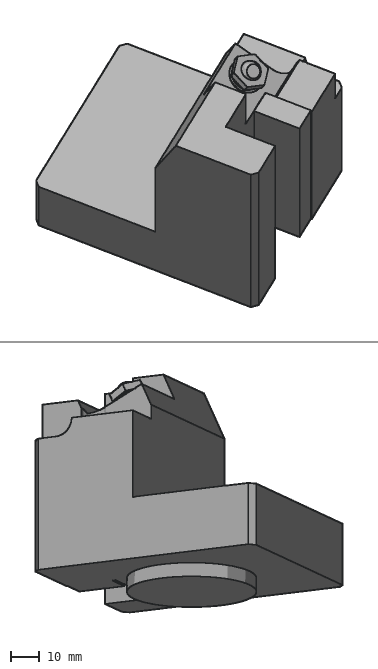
import cadquery as cq
import math

length = 86.0
width = 70.0
height = 75.1
base_height = 21.9
corner_chamfer = 2.1
wall_x = 47.0
slope_start_z = 58.0
slope_angle = 25.0
slope_run = (height - slope_start_z) * math.tan(math.radians(slope_angle))

disc_diameter = 45.0
disc_height = 4.9
disc_x = 42.0

seat_front_y = 31.05
seat_edge_z = 65.8
seat_edge_x = wall_x + (seat_edge_z - slope_start_z) * math.tan(math.radians(slope_angle))
seat_length = 21.6
block_top_z = 60.9

slot_x = 66.9
slot_front_y = 15.05
slot_back_y = 44.0
jaw_top_z = 61.5
jaw_start_x = 68.1
jaw_end_x = 85.65
jaw_front_y = 35.1

ledge_z = 52.9
ledge_front_y = 56.0
ledge_end_x = 70.9
ledge_corner_radius = 5.85
rear_step_y = 62.6
rear_fillet = 6.0

nut_y = 47.1
nut_along_seat = 9.1
washer_diameter = 12.4
washer_height = 0.3
collar_diameter = 10.6
collar_height = 1.9
nut_corners = 13.6
nut_height = 2.8
nut_turn = 46.0
ball_radius = 3.8
ball_sink = 0.9
ball_flat_distance = 2.8
ball_flat_normal = cq.Vector(0.6, -0.3, 0.75)


def box(x0, x1, y0, y1, z0, z1):
    return cq.Workplane("XY").box(x1 - x0, y1 - y0, z1 - z0, centered=False).translate((x0, y0, z0))


def make_body():
    profile = [
        (0, 0), (length, 0), (length, height), (wall_x + slope_run, height),
        (wall_x, slope_start_z), (wall_x, base_height), (0, base_height),
    ]
    body = cq.Workplane("XZ").polyline(profile).close().extrude(-width)
    chamfered = box(0, length, 0, width, 0, height).edges("|Z").chamfer(corner_chamfer)
    disc = cq.Workplane("XY").center(disc_x, width / 2).circle(disc_diameter / 2).extrude(-disc_height)
    return body.intersect(chamfered).union(disc)


def make_seat_cut():
    """Space above the tilted seat, its riser and the flat block beside it."""
    angle = math.radians(slope_angle)
    foot_x = seat_edge_x + seat_length * math.cos(angle)
    foot_z = seat_edge_z - seat_length * math.sin(angle)
    riser_top_x = foot_x + (block_top_z - foot_z) * math.tan(angle)
    profile = [
        (seat_edge_x, seat_edge_z), (foot_x, foot_z), (riser_top_x, block_top_z),
        (length, block_top_z), (length, height), (seat_edge_x, height),
    ]
    return (cq.Workplane("XZ", origin=(0, seat_front_y, 0))
            .polyline(profile).close().extrude(seat_front_y - width))


def make_ledge_cut():
    cut = box(wall_x, ledge_end_x, ledge_front_y, width + ledge_corner_radius, ledge_z, height)
    return cut.edges("|Z and >X and <Y").fillet(ledge_corner_radius)


def make_rear_cut():
    """Corner step whose inner edge is rounded along Y."""
    cut = box(ledge_end_x, length + rear_fillet, rear_step_y, width, ledge_z - rear_fillet, height)
    return cut.edges("|Y and <X and <Z").fillet(rear_fillet)


def make_clamp_nut():
    """Washer, collar and hexagon built upright on Z = 0, with the height of the top face."""
    collar_top = washer_height + collar_height
    nut_top = collar_top + nut_height
    washer = cq.Workplane("XY").circle(washer_diameter / 2).extrude(washer_height)
    collar = cq.Workplane("XY").circle(collar_diameter / 2).extrude(collar_top)
    hexagon = (cq.Workplane("XY").polygon(6, nut_corners).extrude(nut_height)
               .rotate((0, 0, 0), (0, 0, 1), nut_turn)
               .translate((0, 0, collar_top)))
    return washer.union(collar).union(hexagon), nut_top


def make_ball_end():
    """Ball about the origin with one flat facing the given direction."""
    flat = cq.Plane(origin=ball_flat_normal.normalized() * ball_flat_distance, normal=ball_flat_normal)
    beyond_flat = cq.Workplane(flat).circle(ball_radius).extrude(ball_radius)
    return cq.Workplane("XY").sphere(ball_radius).cut(beyond_flat)


def make_nut_on_seat():
    nut, nut_top = make_clamp_nut()
    angle = math.radians(slope_angle)
    ball_height = nut_top - ball_sink
    along = nut_along_seat * math.cos(angle) + ball_height * math.sin(angle)
    rise = ball_height * math.cos(angle) - nut_along_seat * math.sin(angle)
    seat_edge = (seat_edge_x, nut_y, seat_edge_z)
    tilted_nut = (nut.translate((nut_along_seat, 0, 0))
                  .rotate((0, 0, 0), (0, 1, 0), slope_angle).translate(seat_edge))
    ball = make_ball_end().translate((seat_edge_x + along, nut_y, seat_edge_z + rise))
    return tilted_nut.union(ball)


side_slot = box(slot_x, length, slot_front_y, slot_back_y, 0, height)
jaw = box(jaw_start_x, jaw_end_x, jaw_front_y, slot_back_y, 0, jaw_top_z)

result = (make_body()
          .cut(make_seat_cut())
          .cut(make_ledge_cut())
          .cut(make_rear_cut())
          .cut(side_slot)
          .union(jaw)
          .union(make_nut_on_seat()))